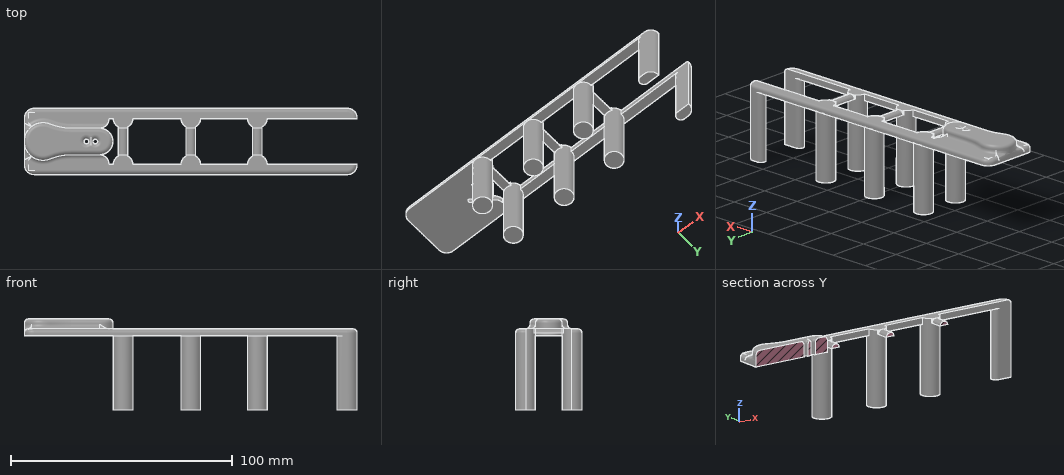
import cadquery as cq
import math

LENGTH = 150.0
WIDTH = 30.0
PLATE_THICKNESS = 3.2
EDGE_FILLET = 2.0
ARM_WIDTH = 4.8
ARM_INNER_Y = WIDTH / 2 - ARM_WIDTH

LEG_LENGTH = 33.5
LEG_DIAMETER = 9.0
LEG_X_POSITIONS = (44.5, 75.0, 105.0)
LEG_Y = (WIDTH - LEG_DIAMETER) / 2
END_LEG_ROUND_X = 143.2

CORNER_RADIUS = LEG_DIAMETER / 2
TIP_RADIUS = LEG_DIAMETER / 2
TIP_X = LENGTH - TIP_RADIUS

BAR_WIDTH = 4.4
BAR_ROUNDING = 2.0
BAR_LENGTH = 2 * LEG_Y - LEG_DIAMETER
BAR_END_OVERLAP = 1.0

PAD_HEIGHT = 4.5
PAD_TOP = PLATE_THICKNESS + PAD_HEIGHT
PAD_TOP_FILLET = 2.0
PAD_BASE_FILLET = 2.0
HEAD_RADIUS = 8.5
NECK_RADIUS = 6.0
NOSE_X = 34.0
WAIST_RADIUS = 25.0

SKIN_HANDLE_RATIO = 0.8
SKIN_INSET = 0.02
SKIN_STEPS = 12
SKIN_TOLERANCE = 0.001

HOLE_DIAMETER = 2.0
FLARE_RADIUS = 2.0
HOLE_X_POSITIONS = (28.0, 32.0)


def block(x_range, y_range, z_range):
    """Box between the given limits."""
    size = [high - low for low, high in (x_range, y_range, z_range)]
    corner = (x_range[0], y_range[0], z_range[0])
    return cq.Workplane("XY", origin=corner).box(*size, centered=False)


def cylinder(x, y, diameter, bottom, top):
    """Upright cylinder between two heights."""
    return cq.Workplane("XY", origin=(x, y, bottom)).circle(diameter / 2).extrude(top - bottom)


def plate_outline(bottom, top):
    """Plate without its window: two rounded corners and a half-round lobe ending each arm."""
    half_width = WIDTH / 2
    lobe_inner_y = LEG_Y - TIP_RADIUS
    return (
        cq.Workplane("XY", origin=(0, 0, bottom))
        .moveTo(0, LEG_Y)
        .lineTo(0, -LEG_Y)
        .radiusArc((CORNER_RADIUS, -half_width), -CORNER_RADIUS)
        .lineTo(TIP_X, -half_width)
        .threePointArc((LENGTH, -LEG_Y), (TIP_X, -lobe_inner_y))
        .lineTo(TIP_X, lobe_inner_y)
        .threePointArc((LENGTH, LEG_Y), (TIP_X, half_width))
        .lineTo(CORNER_RADIUS, half_width)
        .radiusArc((0, LEG_Y), -CORNER_RADIUS)
        .close()
        .extrude(top - bottom)
    )


def window(bottom, top):
    """Opening between the arms; its two corners beside the nose bulge inwards."""
    opening = block((NOSE_X, LENGTH), (-ARM_INNER_Y, ARM_INNER_Y), (bottom, top))
    for side in (-1, 1):
        bulge_diameter = 2 * (ARM_INNER_Y - NECK_RADIUS)
        opening = opening.cut(cylinder(NOSE_X, side * ARM_INNER_Y, bulge_diameter, bottom, top))
    return opening


def fork_plate():
    """Plate with rounded upper rim and the open-ended window."""
    plate = plate_outline(0, PLATE_THICKNESS).faces(">Z").edges().fillet(EDGE_FILLET)
    return plate.cut(window(0, PLATE_THICKNESS))


def round_legs():
    """Three pairs of round legs rising through the plate."""
    inboard = block((0, LENGTH), (-LEG_Y, LEG_Y), (0, PLATE_THICKNESS))
    solids = []
    for x in LEG_X_POSITIONS:
        for side in (-1, 1):
            solids.append(cylinder(x, side * LEG_Y, LEG_DIAMETER, -LEG_LENGTH, 0))
            boss = cylinder(x, side * LEG_Y, LEG_DIAMETER, 0, PLATE_THICKNESS)
            solids.append(boss.intersect(inboard))
    return solids


def cross_bars():
    """Bar between each pair of round legs: quarter-round sides, square ends inside the legs."""
    half_width = BAR_WIDTH / 2
    half_length = BAR_LENGTH / 2
    half_flat = half_width - BAR_ROUNDING
    bottom = PLATE_THICKNESS - BAR_ROUNDING
    solids = []
    for x in LEG_X_POSITIONS:
        bar = (
            cq.Workplane("XZ", origin=(x, half_length, 0))
            .moveTo(-half_width, bottom)
            .radiusArc((-half_flat, PLATE_THICKNESS), BAR_ROUNDING)
            .lineTo(half_flat, PLATE_THICKNESS)
            .radiusArc((half_width, bottom), BAR_ROUNDING)
            .close()
            .extrude(BAR_LENGTH)
        )
        solids.append(bar)
        for side in (-1, 1):
            y_range = sorted((side * half_length, side * (half_length + BAR_END_OVERLAP)))
            solids.append(block((x - half_width, x + half_width), y_range, (bottom, PLATE_THICKNESS)))
    return solids


def end_legs():
    """Leg under each arm tip: as wide as the arm, with a half-round inner side."""
    solids = []
    arm_y = (WIDTH - ARM_WIDTH) / 2
    footprint = plate_outline(-LEG_LENGTH, 0)
    for side in (-1, 1):
        y_range = sorted((side * ARM_INNER_Y, side * WIDTH / 2))
        straight = block((END_LEG_ROUND_X, LENGTH), y_range, (-LEG_LENGTH, 0))
        rounded = cylinder(END_LEG_ROUND_X, side * arm_y, ARM_WIDTH, -LEG_LENGTH, 0)
        solids.append(straight.intersect(footprint).union(rounded))
    return solids


def pad_body(nose_x=NOSE_X):
    """Plain pad: head and neck joined by concave waist arcs, with a rounded top rim."""
    reach = HEAD_RADIUS + WAIST_RADIUS
    waist_y = NECK_RADIUS + WAIST_RADIUS
    waist_dx = math.sqrt(reach**2 - waist_y**2)
    waist_x = HEAD_RADIUS + waist_dx
    head_end = (HEAD_RADIUS + HEAD_RADIUS * waist_dx / reach, HEAD_RADIUS * waist_y / reach)
    middle_angle = (math.atan2(-waist_y, -waist_dx) - math.pi / 2) / 2
    waist_middle = (
        waist_x + WAIST_RADIUS * math.cos(middle_angle),
        waist_y + WAIST_RADIUS * math.sin(middle_angle),
    )
    neck_start = (waist_x, NECK_RADIUS)

    def mirrored(point):
        return (point[0], -point[1])

    pad = (
        cq.Workplane("XY", origin=(0, 0, 0))
        .moveTo(*head_end)
        .threePointArc(waist_middle, neck_start)
        .lineTo(nose_x, NECK_RADIUS)
        .threePointArc((nose_x + NECK_RADIUS, 0), (nose_x, -NECK_RADIUS))
        .lineTo(*mirrored(neck_start))
        .threePointArc(mirrored(waist_middle), mirrored(head_end))
        .threePointArc((0, 0), head_end)
        .close()
        .extrude(PAD_TOP)
    )
    return pad.faces(">Z").edges().fillet(PAD_TOP_FILLET)


BALL_REACH = HEAD_RADIUS + PAD_BASE_FILLET
RIM_X = EDGE_FILLET
RIM_Y = math.sqrt(BALL_REACH**2 - (HEAD_RADIUS - RIM_X) ** 2)


def toward_rim(radius):
    """Point at a radius from the head centre, on the ray to where base and rim fillets meet."""
    scale = radius / BALL_REACH
    return HEAD_RADIUS - (HEAD_RADIUS - RIM_X) * scale, RIM_Y * scale


def pad_base_fillet():
    """Pad with its base fillet, kept only where the fillet lands on the flat of the plate."""
    long_nose_x = NOSE_X + 2 * NECK_RADIUS
    slab = block((-LENGTH / 2, LENGTH), (-WIDTH, WIDTH), (0, PLATE_THICKNESS))
    base_box = cq.selectors.BoxSelector(
        (-1, -WIDTH / 2, PLATE_THICKNESS - 0.1),
        (long_nose_x + 2 * NECK_RADIUS, WIDTH / 2, PLATE_THICKNESS + 0.1),
    )
    filleted = slab.union(pad_body(long_nose_x)).edges(base_box).fillet(PAD_BASE_FILLET)
    rim_point = toward_rim(2 * BALL_REACH)
    sector = (
        cq.Workplane("XY")
        .moveTo(HEAD_RADIUS, 0)
        .lineTo(*rim_point)
        .lineTo(LENGTH / 2, rim_point[1])
        .lineTo(LENGTH / 2, -rim_point[1])
        .lineTo(rim_point[0], -rim_point[1])
        .close()
        .extrude(PAD_TOP)
    )
    above = block((RIM_X, LENGTH / 2), (-WIDTH / 2 + EDGE_FILLET, WIDTH / 2 - EDGE_FILLET), (0, PAD_TOP))
    return filleted.intersect(sector).intersect(above).cut(window(0, PAD_TOP).cut(pad_body()))


def head_end_skin_point(across, up):
    """Point on the skin between plate end and head; across runs -1 to 1, up runs 0 to 1.

    Each section is an S-shaped cubic, upright at both ends, from the straight lower edge of
    the rim fillet to the wall of the head. The middle section is a plain vertical line.
    """
    rim_head_x, rim_head_y = toward_rim(HEAD_RADIUS)
    head_angle = across * math.atan2(rim_head_y, HEAD_RADIUS - rim_head_x)
    start = cq.Vector(SKIN_INSET, RIM_Y * across, PLATE_THICKNESS - EDGE_FILLET)
    end = cq.Vector(
        SKIN_INSET + HEAD_RADIUS * (1 - math.cos(head_angle)),
        HEAD_RADIUS * math.sin(head_angle),
        PLATE_THICKNESS + PAD_BASE_FILLET,
    )
    handle = cq.Vector(0, 0, SKIN_HANDLE_RATIO * (EDGE_FILLET + PAD_BASE_FILLET))
    down = 1 - up
    return (
        start * down**3
        + (start + handle) * (3 * up * down**2)
        + (end - handle) * (3 * up**2 * down)
        + end * up**3
    )


def head_end_blend():
    """Skin between the plate's end edge and the head, thickened into the part."""
    rows = [
        [
            head_end_skin_point(1 - 2 * i / SKIN_STEPS, j / SKIN_STEPS)
            for j in range(SKIN_STEPS + 1)
        ]
        for i in range(SKIN_STEPS + 1)
    ]
    skin = cq.Face.makeSplineApprox(rows, tol=SKIN_TOLERANCE)
    thickened = cq.Solid.extrudeLinear(skin, cq.Vector(HEAD_RADIUS / 2, 0, 0))
    return cq.Workplane(cq.Solid.makeSolid(thickened.Shells()[0]))


def flared_hole(x):
    """Cutter for a through hole whose mouth flares out in a quarter-round."""
    radius = HOLE_DIAMETER / 2
    mouth = radius + FLARE_RADIUS
    diagonal = FLARE_RADIUS * math.sqrt(0.5)
    throat_z = PAD_TOP - FLARE_RADIUS
    return (
        cq.Workplane("XZ", origin=(x, 0, 0))
        .moveTo(0, 0)
        .lineTo(radius, 0)
        .lineTo(radius, throat_z)
        .threePointArc((mouth - diagonal, throat_z + diagonal), (mouth, PAD_TOP))
        .lineTo(0, PAD_TOP)
        .close()
        .revolve(360, (0, 0, 0), (0, 1, 0))
    )


result = fork_plate()
for solid in round_legs() + cross_bars() + end_legs():
    result = result.union(solid)
result = result.union(pad_body()).union(pad_base_fillet()).union(head_end_blend())
for hole_x in HOLE_X_POSITIONS:
    result = result.cut(flared_hole(hole_x))